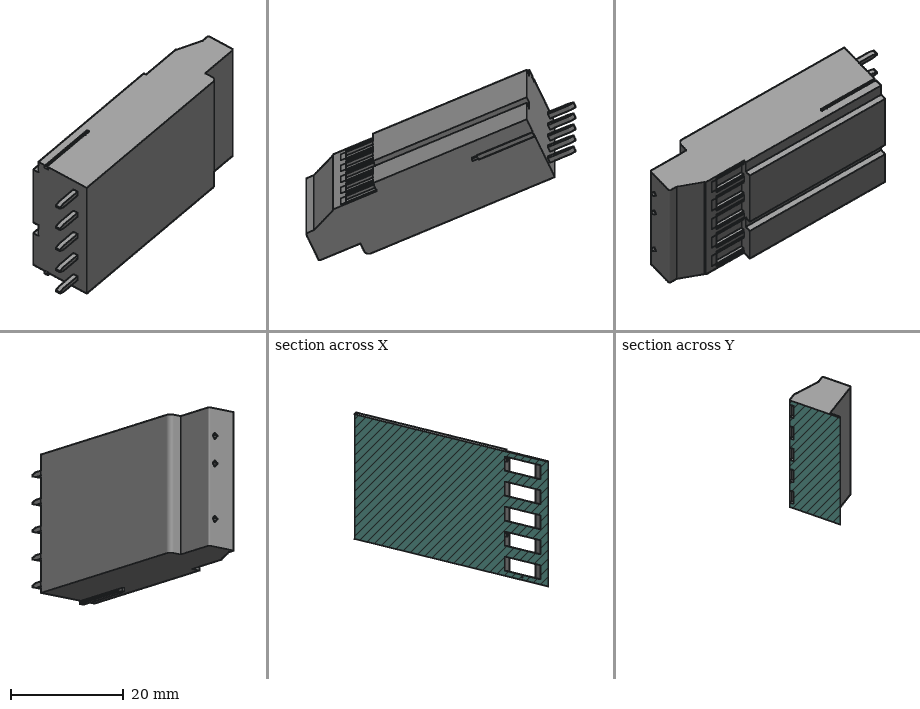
import cadquery as cq


POLES = 5
PITCH = 5.08
WIDTH = 12.2
LENGTH = 44.8
HEIGHT = POLES * PITCH

PAD_LENGTH = 29.95
STEP_X = 1.7
BEVEL_START_Y = 38.4
BEVEL_LEDGE_X = 0.2
BEVEL_LEDGE_Y = 0.2
BEVEL_END_Y = 43.2
REAR_LEFT_X = 3.95
REAR_RIGHT_X = 9.7
SHOULDER_Y = 36.75
SHOULDER_RADIUS = 0.9
REAR_EDGE_RADIUS = 0.3

CHANNEL_DEPTH = 1.2
CHANNEL_HEIGHT = PITCH / 2
CHANNEL_BOTTOMS = (1.5 * PITCH, HEIGHT - CHANNEL_HEIGHT)

POCKET_END_Y = 36.0
POCKET_HEIGHT = 3.85
POCKET_DEPTH = 0.15
POCKET_CORE_HEIGHT = 2.8
POCKET_CORE_DEPTH = 0.75
POCKET_CORE_UNDERCUT = 1.0

PIN_X = 9.65
PIN_WIDTH = 0.95
PIN_HEIGHT = 0.93
PIN_LENGTH = 5.0
PIN_TAPER_LENGTH = 1.0
PIN_TIP_HEIGHT = 0.3

RAIL_X = 2.95
RAIL_NECK_WIDTH = 0.45
RAIL_HEAD_WIDTH = 0.9
RAIL_HEIGHT = 0.6
RAIL_FLARE_END = 0.4
RAIL_LENGTH = 11.95
RAIL_HEAD_LENGTH = 10.85

NUB_X = 8.4
NUB_RADIUS = 0.5
NUB_CONE_HEIGHT = 0.6
NUB_LEVELS = (1, 3, 4)


def pole_z(index):
    """Centre height of a pole, counted from the bottom."""
    return (index + 0.5) * PITCH


def box(x0, x1, y0, y1, z0, z1):
    """Axis-aligned box between two corners."""
    return cq.Workplane("XY").box(x1 - x0, y1 - y0, z1 - z0, centered=False).translate((x0, y0, z0))


def housing():
    """Extruded body with a bevelled rear end and a shoulder on the +X side."""
    outline = [
        (0, 0),
        (WIDTH, 0),
        (WIDTH, SHOULDER_Y),
        (REAR_RIGHT_X, SHOULDER_Y),
        (REAR_RIGHT_X, LENGTH),
        (REAR_LEFT_X, LENGTH),
        (REAR_LEFT_X, BEVEL_END_Y),
        (STEP_X + BEVEL_LEDGE_X, BEVEL_START_Y + BEVEL_LEDGE_Y),
        (STEP_X, BEVEL_START_Y),
        (STEP_X, PAD_LENGTH),
        (0, PAD_LENGTH),
    ]
    body = cq.Workplane("XY").polyline(outline).close().extrude(HEIGHT)
    body = body.edges("|Z").edges(">Y").fillet(REAR_EDGE_RADIUS)
    shoulder_edge = cq.selectors.NearestToPointSelector((WIDTH, SHOULDER_Y, HEIGHT / 2))
    return body.edges("|Z").edges(shoulder_edge).fillet(SHOULDER_RADIUS)


def channel(bottom_z):
    """Cutter for one channel along the pads."""
    return box(0, CHANNEL_DEPTH, 0, PAD_LENGTH, bottom_z, bottom_z + CHANNEL_HEIGHT)


def pocket(centre_z):
    """Cutter for one shallow pocket with a deeper core that undercuts the pocket end."""
    def recess(x0, x1, end_y, height):
        return box(x0, x1, PAD_LENGTH, end_y, centre_z - height / 2, centre_z + height / 2)

    floor_x = STEP_X + POCKET_DEPTH
    core_floor_x = STEP_X + POCKET_CORE_DEPTH
    shallow = recess(STEP_X, floor_x, POCKET_END_Y, POCKET_HEIGHT)
    core = recess(floor_x, core_floor_x, POCKET_END_Y + POCKET_CORE_UNDERCUT, POCKET_CORE_HEIGHT)
    return shallow.union(core)


def pin(centre_z):
    """Flat-sided pin whose upper and lower faces taper to the tip."""
    half = PIN_HEIGHT / 2
    half_tip = PIN_TIP_HEIGHT / 2
    taper_y = PIN_TAPER_LENGTH - PIN_LENGTH
    side = [
        (0, -half),
        (taper_y, -half),
        (-PIN_LENGTH, -half_tip),
        (-PIN_LENGTH, half_tip),
        (taper_y, half),
        (0, half),
    ]
    blade = cq.Workplane("YZ").polyline(side).close().extrude(PIN_WIDTH / 2, both=True)
    return blade.translate((PIN_X, 0, centre_z))


def rail(surface_z):
    """Flared rail hanging below surface_z, with a plain neck at its inner end."""
    half_neck = RAIL_NECK_WIDTH / 2
    half_head = RAIL_HEAD_WIDTH / 2
    section = [
        (-half_neck, 0),
        (-half_head, -RAIL_FLARE_END),
        (-half_head, -RAIL_HEIGHT),
        (half_head, -RAIL_HEIGHT),
        (half_head, -RAIL_FLARE_END),
        (half_neck, 0),
    ]
    head = cq.Workplane("XZ").polyline(section).close().extrude(-RAIL_HEAD_LENGTH)
    neck = box(-half_neck, half_neck, 0, RAIL_LENGTH, -RAIL_HEIGHT, 0)
    return head.union(neck).translate((RAIL_X, 0, surface_z))


def nub(level):
    """Two cones base to base on a Z axis, half sunk into the rear face at a pole boundary."""
    profile = [(0, -NUB_CONE_HEIGHT), (NUB_RADIUS, 0), (0, NUB_CONE_HEIGHT)]
    double_cone = cq.Workplane("XZ").polyline(profile).close().revolve(360, (0, 0), (0, 1))
    return double_cone.translate((NUB_X, LENGTH, level * PITCH))


result = housing()
for channel_bottom in CHANNEL_BOTTOMS:
    result = result.cut(channel(channel_bottom))
for pole in range(POLES):
    result = result.cut(pocket(pole_z(pole)))
    result = result.union(pin(pole_z(pole)))
result = result.cut(rail(HEIGHT))
result = result.union(rail(0))
for nub_level in NUB_LEVELS:
    result = result.union(nub(nub_level))